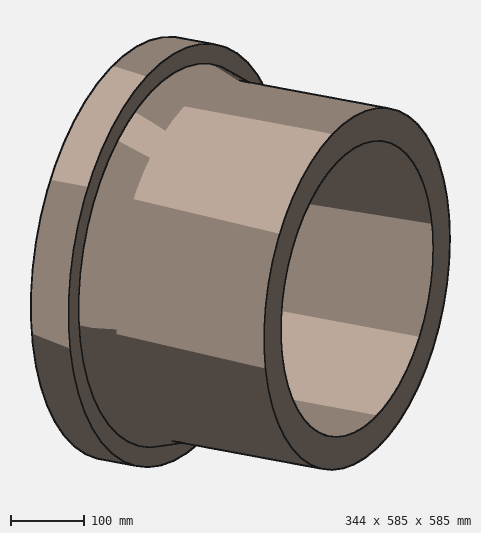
import cadquery as cq

total_length = 344.0
flange_diameter = 585.0
flange_thickness = 59.5
pipe_diameter = 500.0
bore_diameter = 409.0
neck_diameter = 530.0
neck_length = 50.0

flange_radius = flange_diameter / 2
neck_radius = neck_diameter / 2
pipe_radius = pipe_diameter / 2
bore_radius = bore_diameter / 2
neck_end = flange_thickness + neck_length

wall_section = (
    cq.Workplane("XY")
    .moveTo(0, bore_radius)
    .lineTo(0, flange_radius)
    .lineTo(flange_thickness, flange_radius)
    .lineTo(flange_thickness, neck_radius)
    .lineTo(neck_end, pipe_radius)
    .lineTo(total_length, pipe_radius)
    .lineTo(total_length, bore_radius)
    .close()
)

result = wall_section.revolve(360, (0, 0, 0), (1, 0, 0))